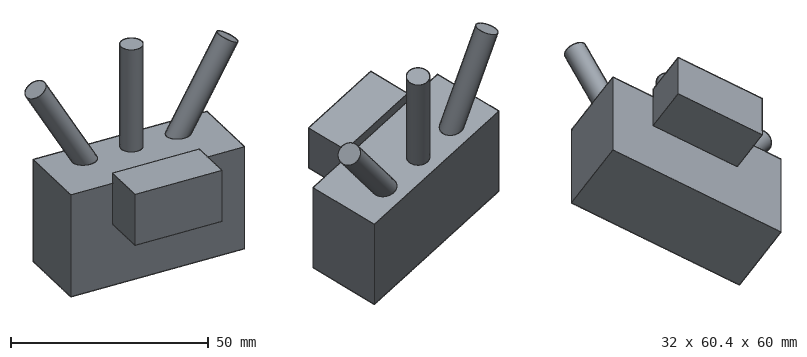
import cadquery as cq
import math

BLOCK_X = 20.0
BLOCK_Y = 50.0
BLOCK_Z = 30.0

BOX_X = 12.0
BOX_Y = 25.0
BOX_Z = 15.0
BOX_CENTRE_Y = -0.55
BOX_RISE = 3.0

PIN_DIAMETER = 6.0
PIN_EDGE_DISTANCE = 6.05
UPRIGHT_HEIGHT = 30.0
LEAN_ANGLE = 30.0
LEANING_REACH_Y = 30.2
LEANING_END_HEIGHT = 24.4

pin_radius = PIN_DIAMETER / 2
pin_x = -BLOCK_X / 2 + PIN_EDGE_DISTANCE
lean = math.radians(LEAN_ANGLE)
leaning_length = LEANING_END_HEIGHT / math.cos(lean)
leaning_end_y = LEANING_REACH_Y - pin_radius * math.cos(lean)
leaning_foot_y = leaning_end_y - LEANING_END_HEIGHT * math.tan(lean)


def make_block():
    return cq.Workplane("XY").box(BLOCK_X, BLOCK_Y, BLOCK_Z, centered=(True, True, False))


def make_side_box():
    bottom_z = BLOCK_Z + BOX_RISE - BOX_Z
    box = cq.Workplane("XY").box(BOX_X, BOX_Y, BOX_Z, centered=(False, True, False))
    return box.translate((BLOCK_X / 2, BOX_CENTRE_Y, bottom_z))


def make_pin(foot_y, length, angle):
    """Pin leaning toward +Y by angle (radians), its foot cut flush with the block top."""
    foot = cq.Vector(pin_x, foot_y, BLOCK_Z)
    axis = cq.Vector(0, math.sin(angle), math.cos(angle))
    buried = PIN_DIAMETER
    pin = cq.Workplane(obj=cq.Solid.makeCylinder(pin_radius, length + buried, foot - axis * buried, axis))
    return pin.cut(make_block())


block = make_block()
side_box = make_side_box()

pins = []
for side in (-1, 0, 1):
    pin_length = leaning_length if side else UPRIGHT_HEIGHT
    pins.append(make_pin(side * leaning_foot_y, pin_length, side * lean))

result = cq.Compound.makeCompound(
    [block.val(), side_box.val(), *[solid for pin in pins for solid in pin.solids().vals()]]
)